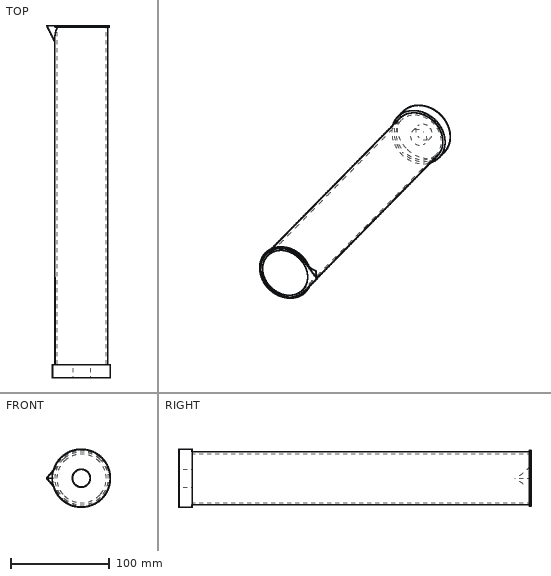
import cadquery as cq
import math

total_length = 358.2
base_diameter = 59.0
base_thickness = 13.5
base_hole_diameter = 18.0
tube_diameter = 54.0
bore_diameter = 49.8
rim_diameter = 57.0
rim_thickness = 1.8
total_width = 65.0
spout_depth = 16.5

tube_length = total_length - base_thickness
spout_reach = total_width - base_diameter / 2
tube_radius = tube_diameter / 2
spout_projection = spout_reach - tube_radius
spout_root = tube_radius**2 / spout_reach
spout_half_width = math.sqrt(tube_radius**2 - spout_root**2)
spout_height = (spout_reach - spout_root) * spout_depth / spout_projection


def cylinder(diameter, start, length):
    """Solid cylinder along +Y from the given start position."""
    plane = cq.Workplane("XZ", origin=(0, start, 0))
    return plane.circle(diameter / 2).extrude(-length)


def make_rim():
    """Round bead running around the mouth of the tube."""
    bead_radius = rim_thickness / 2
    section = cq.Workplane("XY").moveTo(rim_diameter / 2 - bead_radius, total_length - bead_radius)
    return section.circle(bead_radius).revolve(360, (0, 0), (0, 1))


def make_spout():
    """Pointed pouring lip: a pyramid with its triangular face at the mouth."""
    tip = cq.Vector(-spout_reach, total_length, 0)
    upper = cq.Vector(-spout_root, total_length, spout_half_width)
    lower = cq.Vector(-spout_root, total_length, -spout_half_width)
    bottom = cq.Vector(-spout_root, total_length - spout_height, 0)
    triangles = [
        (tip, upper, lower),
        (tip, upper, bottom),
        (tip, lower, bottom),
        (upper, lower, bottom),
    ]
    faces = [cq.Face.makeFromWires(cq.Wire.makePolygon(points, close=True)) for points in triangles]
    return cq.Workplane(cq.Solid.makeSolid(cq.Shell.makeShell(faces)))


def make_tube():
    """Open tube with a bead rim and a spout at its mouth."""
    body = cylinder(tube_diameter, base_thickness, tube_length)
    bore = cylinder(bore_diameter, base_thickness, tube_length)
    return body.union(make_rim()).union(make_spout()).cut(bore)


def make_base():
    """Round base disc with a central through hole, closing the foot of the tube."""
    disc = cylinder(base_diameter, 0, base_thickness)
    hole = cylinder(base_hole_diameter, 0, base_thickness)
    return disc.cut(hole)


tube = make_tube()
base = make_base()
result = cq.Compound.makeCompound([tube.solids().val(), base.val()])